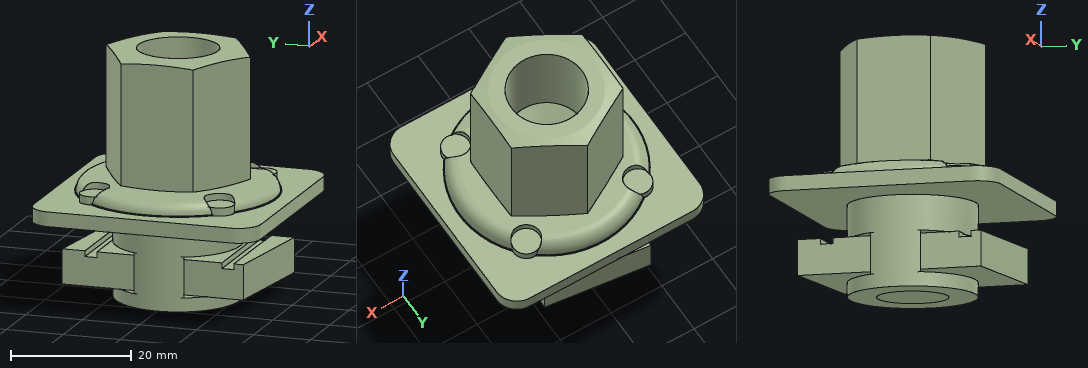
import cadquery as cq
import math

PLATE_SIDE = 40.0
PLATE_THICKNESS = 2.55
PLATE_CORNER_RADIUS = 4.0

SLEEVE_DIAMETER = 21.8
SLEEVE_LENGTH = 15.45
SLOT_WIDTH = 20.0
SLOT_HEIGHT = 7.05
SLOT_FLOOR_Z = 2.43

DOME_RADIUS = 17.05
DOME_HEIGHT = 2.55
DOME_EDGE_RADIUS = 2.5
STEP_RADIUS = 17.2
STEP_HEIGHT = 0.15

BOSS_DIAMETER = 5.0
BOSS_POCKET_DIAMETER = 5.1
BOSS_HEIGHT = 1.4
BOSS_OFFSET = 11.0

TOTAL_HEIGHT = 42.6
HEX_ACROSS_FLATS = 22.0
CHAMFER_FACE_DIAMETER = 19.43
CHAMFER_DROP = 0.5
BORE_DIAMETER = 13.85
BORE_DEPTH = 14.9
DRILL_TIP_ANGLE = 118.0
STUD_DIAMETER = 12.0

BAR_WIDTH = 19.45
BAR_HEIGHT = 6.1
BAR_HALF_LENGTH = 17.13
BAR_END_SLANT = 2.4
NOTCH_WIDTH = 2.1
NOTCH_DEPTH = 1.0
NOTCH_OFFSET = 12.0

plate_top_z = SLEEVE_LENGTH + PLATE_THICKNESS
dome_top_z = plate_top_z + DOME_HEIGHT
boss_top_z = plate_top_z + BOSS_HEIGHT
hex_height = TOTAL_HEIGHT - dome_top_z
hex_across_corners = HEX_ACROSS_FLATS / math.cos(math.radians(30))
bar_bottom_z = SLOT_FLOOR_Z + (SLOT_HEIGHT - BAR_HEIGHT) / 2


def cylinder(diameter, bottom_z, height):
    """Upright cylinder on the Z axis."""
    return cq.Workplane("XY").workplane(offset=bottom_z).circle(diameter / 2).extrude(height)


def boss_cylinders(diameter, bottom_z, height):
    """Four upright cylinders at the boss positions."""
    return (
        cq.Workplane("XY")
        .workplane(offset=bottom_z)
        .rect(2 * BOSS_OFFSET, 2 * BOSS_OFFSET, forConstruction=True)
        .vertices()
        .circle(diameter / 2)
        .extrude(height)
    )


def make_housing():
    """Plate, dome, bosses and slotted sleeve, bored for the stud."""
    plate = (
        cq.Workplane("XY")
        .workplane(offset=SLEEVE_LENGTH)
        .rect(PLATE_SIDE, PLATE_SIDE)
        .extrude(PLATE_THICKNESS)
        .edges("|Z")
        .fillet(PLATE_CORNER_RADIUS)
    )
    dome = cylinder(2 * DOME_RADIUS, plate_top_z, DOME_HEIGHT).faces(">Z").edges().fillet(DOME_EDGE_RADIUS)
    step = cylinder(2 * STEP_RADIUS, plate_top_z, STEP_HEIGHT)
    pockets = boss_cylinders(BOSS_POCKET_DIAMETER, boss_top_z, dome_top_z - boss_top_z)
    bosses = boss_cylinders(BOSS_DIAMETER, plate_top_z, BOSS_HEIGHT)
    sleeve = cylinder(SLEEVE_DIAMETER, 0, SLEEVE_LENGTH)
    slot = (
        cq.Workplane("XY")
        .workplane(offset=SLOT_FLOOR_Z)
        .rect(SLOT_WIDTH, SLEEVE_DIAMETER)
        .extrude(SLOT_HEIGHT)
    )
    stud_bore = cylinder(STUD_DIAMETER, 0, dome_top_z)
    raised = dome.union(step).cut(pockets).union(bosses)
    return plate.union(raised).union(sleeve.cut(slot)).cut(stud_bore)


def make_bolt():
    """Hexagonal head, chamfered at both ends, with a blind bore and a plain stud."""
    face_radius = CHAMFER_FACE_DIAMETER / 2
    corner_radius = hex_across_corners / 2
    chamfer_envelope = (
        cq.Workplane("XZ")
        .moveTo(0, dome_top_z)
        .lineTo(face_radius, dome_top_z)
        .lineTo(corner_radius, dome_top_z + CHAMFER_DROP)
        .lineTo(corner_radius, TOTAL_HEIGHT - CHAMFER_DROP)
        .lineTo(face_radius, TOTAL_HEIGHT)
        .lineTo(0, TOTAL_HEIGHT)
        .close()
        .revolve(360, (0, 0, 0), (0, 1, 0))
    )
    hexagon = (
        cq.Workplane("XY")
        .workplane(offset=dome_top_z)
        .transformed(rotate=(0, 0, 90))
        .polygon(6, hex_across_corners)
        .extrude(hex_height)
    )
    bore_radius = BORE_DIAMETER / 2
    bore_floor_z = TOTAL_HEIGHT - BORE_DEPTH
    tip_depth = bore_radius / math.tan(math.radians(DRILL_TIP_ANGLE / 2))
    bore = (
        cq.Workplane("XZ")
        .moveTo(0, TOTAL_HEIGHT)
        .lineTo(bore_radius, TOTAL_HEIGHT)
        .lineTo(bore_radius, bore_floor_z)
        .lineTo(0, bore_floor_z - tip_depth)
        .close()
        .revolve(360, (0, 0, 0), (0, 1, 0))
    )
    stud = cylinder(STUD_DIAMETER, 0, dome_top_z)
    return hexagon.intersect(chamfer_envelope).cut(bore).union(stud)


def make_bar():
    """Cross bar through the sleeve slot, with a hole for the stud."""
    half_width = BAR_WIDTH / 2
    short_end = BAR_HALF_LENGTH - BAR_END_SLANT
    bar = (
        cq.Workplane("XY")
        .workplane(offset=bar_bottom_z)
        .polyline([
            (-half_width, BAR_HALF_LENGTH),
            (-half_width, -short_end),
            (half_width, -BAR_HALF_LENGTH),
            (half_width, short_end),
        ])
        .close()
        .extrude(BAR_HEIGHT)
    )
    notches = (
        cq.Workplane("XY")
        .workplane(offset=bar_bottom_z + BAR_HEIGHT - NOTCH_DEPTH)
        .pushPoints([(0, -NOTCH_OFFSET), (0, NOTCH_OFFSET)])
        .rect(BAR_WIDTH, NOTCH_WIDTH)
        .extrude(NOTCH_DEPTH)
    )
    return bar.cut(notches).cut(cylinder(STUD_DIAMETER, bar_bottom_z, BAR_HEIGHT))


housing = make_housing()
bolt = make_bolt()
bar = make_bar()

result = cq.Compound.makeCompound([housing.val(), bolt.val(), bar.val()])